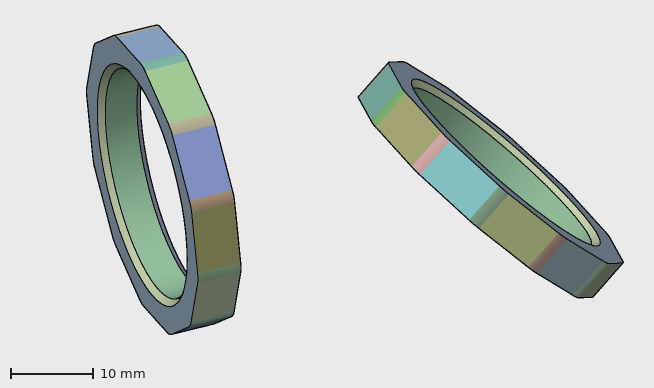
import cadquery as cq
import math

outer_size = 37.62
thickness = 5.6
side_count = 12
corner_radius = 3.0
rim_turn = -0.7
bore_diameter = 28.78
chamfer_size = 0.75

half_turn = math.pi / side_count
corner_trim = corner_radius * (1 / math.cos(half_turn) - 1)
sharp_diameter = outer_size + 2 * corner_trim


def make_rim():
    """Twelve-sided prism with rounded corners, centred on the origin."""
    prism = cq.Workplane("XY").polygon(side_count, sharp_diameter).extrude(thickness / 2, both=True)
    rounded = prism.edges("|Z").fillet(corner_radius)
    return rounded.rotate((0, 0, 0), (0, 0, 1), rim_turn)


def make_bore():
    """Through bore, widened by a chamfer at both ends."""
    bore_radius = bore_diameter / 2
    mouth_radius = bore_radius + chamfer_size
    half_thickness = thickness / 2
    straight_end = half_thickness - chamfer_size
    profile = (
        cq.Workplane("XZ")
        .moveTo(0, -half_thickness)
        .lineTo(mouth_radius, -half_thickness)
        .lineTo(bore_radius, -straight_end)
        .lineTo(bore_radius, straight_end)
        .lineTo(mouth_radius, half_thickness)
        .lineTo(0, half_thickness)
        .close()
    )
    return profile.revolve(360, (0, 0, 0), (0, 1, 0))


result = make_rim().cut(make_bore()).rotate((0, 0, 0), (1, 0, 0), 90)